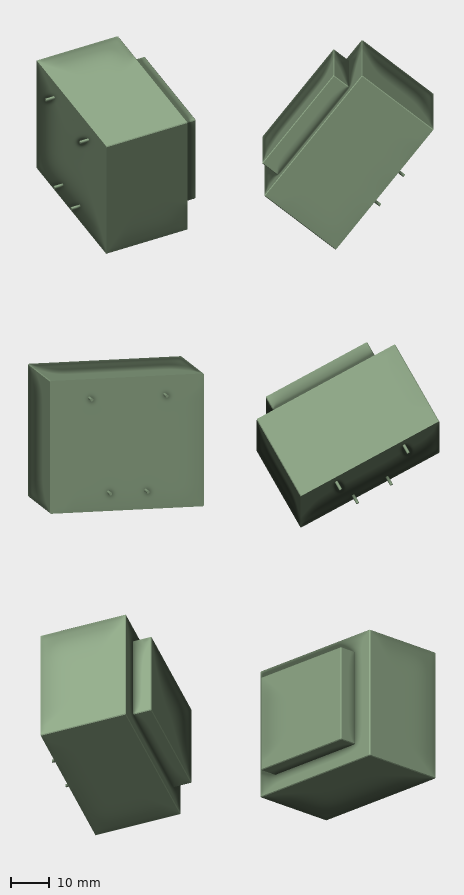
import cadquery as cq

body_width = 41.0
body_depth = 23.5
body_height = 35.0
edge_chamfer = 0.2

block_width = 30.0
block_depth = 5.0
block_height = 25.7

pin_diameter = 0.8
pin_length = 2.5
pin_pitch = 5.0
upper_pin_x = 2 * pin_pitch
lower_pin_x = pin_pitch
pin_row_z = 2.5 * pin_pitch


def make_housing():
    """Box with its pin face at Y = 0, chamfered on every edge except around that face."""
    box = cq.Workplane("XY").box(body_width, body_depth, body_height, centered=(True, False, True))
    return box.edges("|Y or >Y").chamfer(edge_chamfer)


def make_block():
    """Raised block standing on the back of the housing, chamfered on its exposed edges."""
    block = cq.Workplane("XY").box(block_width, block_depth, block_height, centered=(True, False, True))
    block = block.edges("|Y or >Y").chamfer(edge_chamfer)
    return block.translate((0, body_depth, 0))


def make_pins():
    """Four pins projecting from the housing toward -Y."""
    pin_centers = []
    for x, z in ((upper_pin_x, pin_row_z), (lower_pin_x, -pin_row_z)):
        pin_centers += [(-x, z), (x, z)]
    return cq.Workplane("XZ").pushPoints(pin_centers).circle(pin_diameter / 2).extrude(pin_length)


result = make_housing().union(make_block()).union(make_pins())